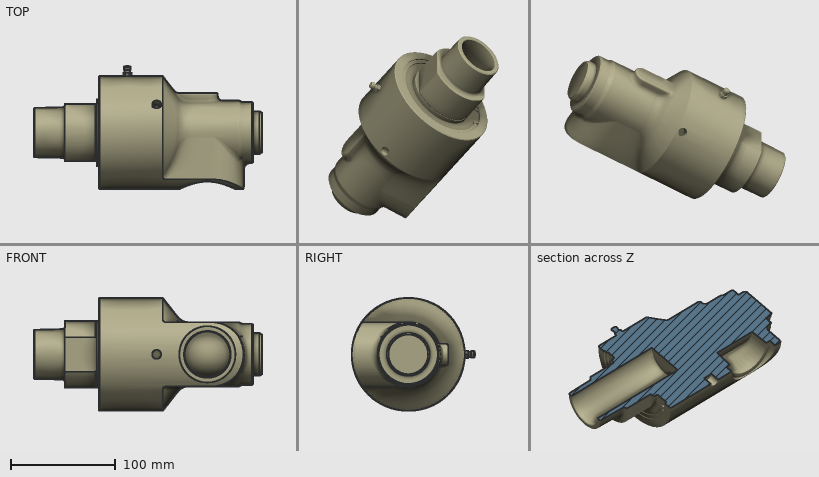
import cadquery as cq
import math

TOTAL_LENGTH = 217.53
BODY_RADIUS = 54.0
CLEARANCE = 1.0

NIPPLE_FACE_RADIUS = 23.7
NIPPLE_ROOT_RADIUS = 24.3
NIPPLE_CHAMFER = 0.8
NIPPLE_TAPER_END = 27.3
NIPPLE_BORE_RADIUS = 38.1 / 2
NIPPLE_BORE_CHAMFER = 0.5
NIPPLE_BORE_DEPTH = 100.0
SHAFT_RADIUS = 64.0 / 2
SHAFT_START = 29.6
SHAFT_FLAT_HALF_WIDTH = 27.5
SHAFT_END = 59.9
SHAFT_END_CHAMFER_LENGTH = 1.2
SHAFT_END_CHAMFER_HEIGHT = 0.5

BODY_START = 62.0
BODY_EDGE_CHAMFER = 0.7
BODY_END = 122.7
CONE_ANGLE = math.radians(51.8)
NECK_BLEND_RADIUS = 12.5
TUBE_RADIUS = 30.8
TUBE_END = 194.4
COLLAR_START = 199.0
COLLAR_RADIUS = 29.3
COLLAR_END = 209.1
COLLAR_EDGE_CHAMFER = COLLAR_RADIUS - 56.25 / 2
PLUG_RADIUS = 20.55
PLUG_CHAMFER_LENGTH = 2.6
PLUG_CHAMFER_HEIGHT = 1.7

RECESS_RADIUS = 90.07 / 2
RECESS_DEPTH = 1.0
RING_INNER_RADIUS = 41.2
RING_THICKNESS = 1.2
RING_GAP_HALF_WIDTH = 7.6
RING_EAR_INNER_Y = 38.6
RING_EAR_HALF_WIDTH = 13.0
RING_EAR_CORNER_RADIUS = 2.8
RING_HOLE_DIAMETER = 3.17
RING_HOLE_Y = 42.6
RING_HOLE_Z = 11.8

ARM_HALF_HEIGHT = 30.5
ARM_END_CENTER_X = 170.0
ARM_BLEND_RADIUS = 5.0
ARM_TIP_CHAMFER_DEPTH = 0.8
ARM_TIP_CHAMFER_LENGTH = 3.7
OUTLET_X = 165.4
OUTLET_RADIUS = 43.26 / 2
OUTLET_MOUTH_RADIUS = 22.4
OUTLET_TAPER_END_Y = -28.0
OUTLET_COUNTERBORE_RADIUS = 53.7 / 2
OUTLET_COUNTERBORE_Y = -46.0
OUTLET_CORE_RADIUS = 26.0

PAD_HALF_WIDTH = 10.0
PAD_TOP_Y = 38.0
PAD_END_CENTER_X = OUTLET_X
PAD_EDGE_RADIUS = 2.0
PAD_ROOT_RADIUS = 4.0

DRAIN_DIAMETER = 8.6
DRAIN_X = 117.0
DRAIN_DEPTH = 10.0
DRAIN_ANGLES = (60, 180, 300)

GREASE_X = 89.0
GREASE_ROOT_Y = 50.0
GREASE_HEX_ACROSS_FLATS = 7.0
GREASE_HEX_TOP_Y = 57.1
GREASE_NECK_RADIUS = 5.36 / 2
GREASE_NECK_TOP_Y = 59.3
GREASE_HEAD_RADIUS = 3.3
GREASE_HEAD_BOTTOM_Y = 60.4
GREASE_HEAD_SHOULDER_Y = 62.4
GREASE_HEAD_TOP_Y = 63.5
GREASE_HEAD_TOP_RADIUS = 2.6
GREASE_BALL_RADIUS = 3.0 / 2
GREASE_TIP_Y = 63.99


def revolve_about_x(outline):
    return outline.close().revolve(360, (0, 0, 0), (1, 0, 0))


def make_nipple():
    """Tapered pipe nipple, shaft with two wrench flats and a plain collar inside the body."""
    fillet_radius = SHAFT_START - NIPPLE_TAPER_END
    chamfer_end = SHAFT_END - SHAFT_END_CHAMFER_LENGTH
    outline = (
        cq.Workplane("XY")
        .lineTo(0, NIPPLE_FACE_RADIUS - NIPPLE_CHAMFER)
        .lineTo(NIPPLE_CHAMFER, NIPPLE_FACE_RADIUS)
        .lineTo(NIPPLE_TAPER_END, NIPPLE_ROOT_RADIUS)
        .radiusArc((SHAFT_START, NIPPLE_ROOT_RADIUS + fillet_radius), -fillet_radius)
        .lineTo(SHAFT_START, SHAFT_RADIUS)
        .lineTo(chamfer_end, SHAFT_RADIUS)
        .lineTo(SHAFT_END, SHAFT_RADIUS - SHAFT_END_CHAMFER_HEIGHT)
        .lineTo(SHAFT_END, 0)
    )
    shaft = revolve_about_x(outline)
    flats = cq.Workplane("XY").box(
        SHAFT_END, 2 * SHAFT_FLAT_HALF_WIDTH, 2 * SHAFT_RADIUS, centered=(False, True, True)
    )
    collar_length = BODY_START + RECESS_DEPTH + RING_THICKNESS - SHAFT_END
    collar = cq.Workplane("YZ").workplane(offset=SHAFT_END).circle(SHAFT_RADIUS).extrude(collar_length)
    return shaft.intersect(flats).union(collar)


def make_body():
    """Round body that narrows through a cone to the tube and its end collar."""
    cone_slope = math.tan(CONE_ANGLE)
    corner_x = BODY_END + (BODY_RADIUS - TUBE_RADIUS) / cone_slope
    tangent_length = NECK_BLEND_RADIUS * math.tan(CONE_ANGLE / 2)
    blend_start = (
        corner_x - tangent_length * math.cos(CONE_ANGLE),
        TUBE_RADIUS + tangent_length * math.sin(CONE_ANGLE),
    )
    blend_end = (corner_x + tangent_length, TUBE_RADIUS)
    outline = (
        cq.Workplane("XY")
        .moveTo(BODY_START, 0)
        .lineTo(BODY_START, BODY_RADIUS - BODY_EDGE_CHAMFER)
        .lineTo(BODY_START + BODY_EDGE_CHAMFER, BODY_RADIUS)
        .lineTo(BODY_END, BODY_RADIUS)
        .lineTo(*blend_start)
        .radiusArc(blend_end, -NECK_BLEND_RADIUS)
        .lineTo(TUBE_END, TUBE_RADIUS)
        .spline([(COLLAR_START, COLLAR_RADIUS)], tangents=[(1, 0), (1, 0)], includeCurrent=True)
        .lineTo(COLLAR_END - COLLAR_EDGE_CHAMFER, COLLAR_RADIUS)
        .lineTo(COLLAR_END, COLLAR_RADIUS - COLLAR_EDGE_CHAMFER)
        .lineTo(COLLAR_END, 0)
    )
    return revolve_about_x(outline)


def make_tip_chamfer_cut():
    """Conical cut around the arm's rounded end, at its outermost part only."""
    start_y = ARM_TIP_CHAMFER_LENGTH - BODY_RADIUS
    ring = (
        cq.Workplane("XY", origin=(ARM_END_CENTER_X, 0, 0))
        .moveTo(ARM_HALF_HEIGHT, start_y)
        .lineTo(ARM_HALF_HEIGHT + CLEARANCE, start_y)
        .lineTo(ARM_HALF_HEIGHT + CLEARANCE, -BODY_RADIUS)
        .lineTo(ARM_HALF_HEIGHT - ARM_TIP_CHAMFER_DEPTH, -BODY_RADIUS)
        .close()
        .revolve(360, (0, 0, 0), (0, 1, 0))
    )
    end_side = cq.Workplane("XY", origin=(ARM_END_CENTER_X, 0, 0)).box(
        TOTAL_LENGTH, 2 * BODY_RADIUS, 2 * BODY_RADIUS, centered=(False, True, True)
    )
    return ring.intersect(end_side)


def make_arm():
    """Round-ended arm towards -Y, kept inside the body cylinder."""
    outline = (
        cq.Workplane("XZ")
        .moveTo(BODY_START + BODY_EDGE_CHAMFER, -ARM_HALF_HEIGHT)
        .lineTo(ARM_END_CENTER_X, -ARM_HALF_HEIGHT)
        .radiusArc((ARM_END_CENTER_X, ARM_HALF_HEIGHT), -ARM_HALF_HEIGHT)
        .lineTo(BODY_START + BODY_EDGE_CHAMFER, ARM_HALF_HEIGHT)
        .close()
    )
    envelope = cq.Workplane("YZ").circle(BODY_RADIUS).extrude(TOTAL_LENGTH)
    return outline.extrude(BODY_RADIUS + CLEARANCE).intersect(envelope).cut(make_tip_chamfer_cut())


def make_pad():
    """Round-ended pad on the +Y side of the tube."""
    outline = (
        cq.Workplane("XZ")
        .moveTo(BODY_END, -PAD_HALF_WIDTH)
        .lineTo(PAD_END_CENTER_X, -PAD_HALF_WIDTH)
        .radiusArc((PAD_END_CENTER_X, PAD_HALF_WIDTH), -PAD_HALF_WIDTH)
        .lineTo(BODY_END, PAD_HALF_WIDTH)
        .close()
    )
    return outline.extrude(-PAD_TOP_Y).faces(">Y").edges().fillet(PAD_EDGE_RADIUS)


def add_arm(body):
    """Join the arm and round its junction with the cone and tube."""
    joined = body.union(make_arm())
    return joined.edges("%HYPERBOLA").fillet(ARM_BLEND_RADIUS)


def add_pad(body):
    """Join the rear pad and round its junction with the cone and tube."""
    return body.union(make_pad()).edges("%HYPERBOLA").fillet(PAD_ROOT_RADIUS)


def cut_recess(housing):
    recess = (
        cq.Workplane("YZ")
        .workplane(offset=BODY_START)
        .circle(RECESS_RADIUS)
        .extrude(RECESS_DEPTH + RING_THICKNESS)
    )
    return housing.cut(recess)


def make_ring():
    """Open retaining ring with a rounded, drilled ear on each side of its gap, which faces -Y."""
    ring_start = BODY_START + RECESS_DEPTH
    plane = cq.Workplane("YZ").workplane(offset=ring_start)
    ring = plane.circle(RECESS_RADIUS).circle(RING_INNER_RADIUS).extrude(RING_THICKNESS)

    def block_at_gap(half_width):
        depth = RECESS_RADIUS - RING_EAR_INNER_Y
        return plane.center(-RECESS_RADIUS, 0).rect(2 * depth, 2 * half_width).extrude(RING_THICKNESS)

    disc = plane.circle(RECESS_RADIUS).extrude(RING_THICKNESS)
    ears = block_at_gap(RING_EAR_HALF_WIDTH).intersect(disc)
    ring = ring.union(ears).cut(block_at_gap(RING_GAP_HALF_WIDTH))
    ear_corners = cq.selectors.BoxSelector(
        (ring_start, -RING_EAR_INNER_Y - CLEARANCE, -RING_GAP_HALF_WIDTH - CLEARANCE),
        (ring_start + RING_THICKNESS, -RING_EAR_INNER_Y + CLEARANCE, RING_GAP_HALF_WIDTH + CLEARANCE),
    )
    ring = ring.edges(ear_corners).edges("|X").fillet(RING_EAR_CORNER_RADIUS)
    holes = (
        plane.pushPoints([(-RING_HOLE_Y, RING_HOLE_Z), (-RING_HOLE_Y, -RING_HOLE_Z)])
        .circle(RING_HOLE_DIAMETER / 2)
        .extrude(RING_THICKNESS)
    )
    return ring.cut(holes)


def make_plug():
    chamfer_start = TOTAL_LENGTH - PLUG_CHAMFER_LENGTH
    outline = (
        cq.Workplane("XY")
        .moveTo(COLLAR_END, 0)
        .lineTo(COLLAR_END, PLUG_RADIUS)
        .lineTo(chamfer_start, PLUG_RADIUS)
        .lineTo(TOTAL_LENGTH, PLUG_RADIUS - PLUG_CHAMFER_HEIGHT)
        .lineTo(TOTAL_LENGTH, 0)
    )
    return revolve_about_x(outline)


def make_grease_nipple():
    corner_diameter = GREASE_HEX_ACROSS_FLATS / math.cos(math.pi / 6)
    hexagon = (
        cq.Workplane("XZ", origin=(GREASE_X, GREASE_ROOT_Y, 0))
        .polygon(6, corner_diameter)
        .extrude(GREASE_ROOT_Y - GREASE_HEX_TOP_Y)
    )
    head_outline = (
        cq.Workplane("XY", origin=(GREASE_X, 0, 0))
        .moveTo(0, GREASE_ROOT_Y)
        .lineTo(GREASE_NECK_RADIUS, GREASE_ROOT_Y)
        .lineTo(GREASE_NECK_RADIUS, GREASE_NECK_TOP_Y)
        .lineTo(GREASE_HEAD_RADIUS, GREASE_HEAD_BOTTOM_Y)
        .lineTo(GREASE_HEAD_RADIUS, GREASE_HEAD_SHOULDER_Y)
        .lineTo(GREASE_HEAD_TOP_RADIUS, GREASE_HEAD_TOP_Y)
        .lineTo(0, GREASE_HEAD_TOP_Y)
        .close()
    )
    head = head_outline.revolve(360, (0, 0, 0), (0, 1, 0))
    ball_center = (GREASE_X, GREASE_TIP_Y - GREASE_BALL_RADIUS, 0)
    ball = cq.Workplane("XY", origin=ball_center).sphere(GREASE_BALL_RADIUS)
    return hexagon.union(head).union(ball)


def make_outlet_cut():
    """A counterbore, a tapered mouth and a straight bore that ends on a round core along X."""
    outline = (
        cq.Workplane("XY", origin=(OUTLET_X, 0, 0))
        .lineTo(OUTLET_RADIUS, 0)
        .lineTo(OUTLET_RADIUS, OUTLET_TAPER_END_Y)
        .lineTo(OUTLET_MOUTH_RADIUS, OUTLET_COUNTERBORE_Y)
        .lineTo(OUTLET_COUNTERBORE_RADIUS, OUTLET_COUNTERBORE_Y)
        .lineTo(OUTLET_COUNTERBORE_RADIUS, -BODY_RADIUS - CLEARANCE)
        .lineTo(0, -BODY_RADIUS - CLEARANCE)
        .close()
    )
    core = cq.Workplane("YZ").circle(OUTLET_CORE_RADIUS).extrude(TOTAL_LENGTH)
    return outline.revolve(360, (0, 0, 0), (0, 1, 0)).cut(core)


def make_drain_holes():
    drill = (
        cq.Workplane("XZ", origin=(DRAIN_X, BODY_RADIUS - DRAIN_DEPTH, 0))
        .circle(DRAIN_DIAMETER / 2)
        .extrude(-2 * DRAIN_DEPTH)
    )
    holes = cq.Workplane("XY")
    for angle in DRAIN_ANGLES:
        holes = holes.add(drill.rotate((0, 0, 0), (1, 0, 0), angle))
    return holes.combine()


def make_nipple_bore():
    outline = (
        cq.Workplane("XY")
        .lineTo(0, NIPPLE_BORE_RADIUS + NIPPLE_BORE_CHAMFER)
        .lineTo(NIPPLE_BORE_CHAMFER, NIPPLE_BORE_RADIUS)
        .lineTo(NIPPLE_BORE_DEPTH, NIPPLE_BORE_RADIUS)
        .lineTo(NIPPLE_BORE_DEPTH, 0)
    )
    return revolve_about_x(outline)


housing = add_pad(add_arm(make_body()))
housing = cut_recess(housing)
housing = housing.union(make_ring())
housing = housing.union(make_plug())
housing = housing.union(make_grease_nipple())
housing = housing.cut(make_outlet_cut())
housing = housing.cut(make_drain_holes())
result = housing.union(make_nipple()).cut(make_nipple_bore())